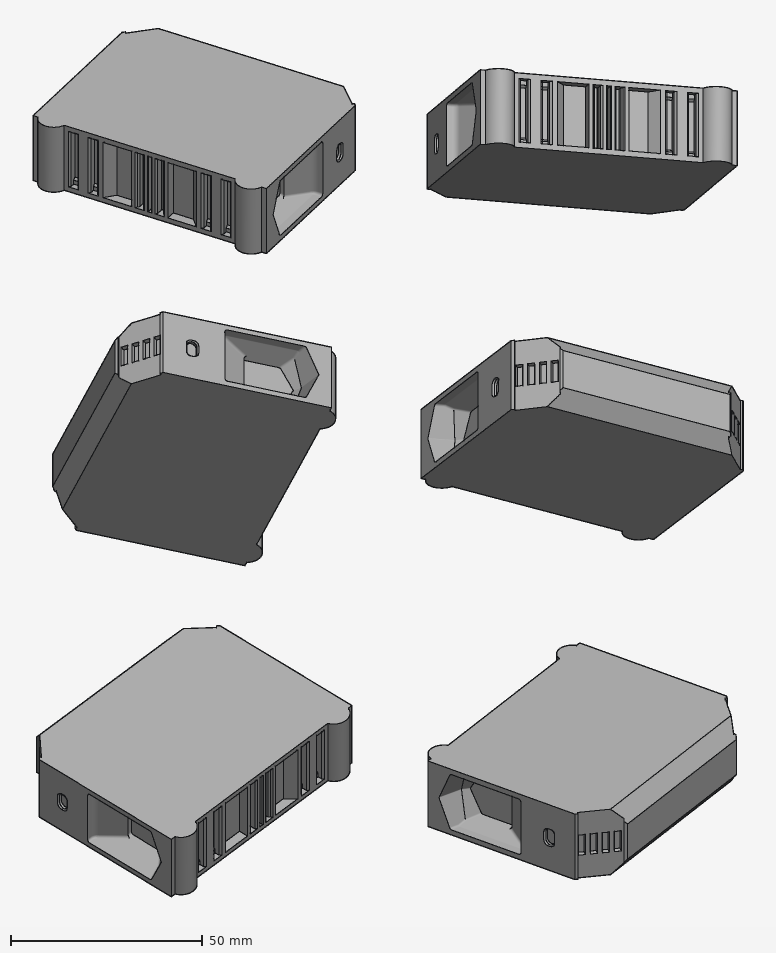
import cadquery as cq
import math

LENGTH = 70.5
THICKNESS = 20.2
BACK_Y = 56.5
HALF_LENGTH = LENGTH / 2
HALF_THICKNESS = THICKNESS / 2
OVERSIZE = 141.0
EDGE_MARGIN = 0.1

CORNER_START_Y = 46.5
LIP_WIDTH = 0.6
LIP_HEIGHT = 0.6
LIP_DIAGONAL = LIP_HEIGHT / math.sqrt(2)

BACK_SLOPE_Y = 52.9
BACK_HALF_HEIGHT = 5.4

FOOT_DIAMETER = 8.5
FOOT_X = 29.8
FOOT_PROTRUSION = 2.75

VENT_COUNT = 4
VENT_FIRST_Y = 54.3
VENT_PITCH_Y = 2.25
VENT_WIDTH = 1.9
VENT_HEIGHT = 6.2
VENT_DEPTH = 1.2
VENT_TAPER = 8.0

OPENING_HEIGHT = 17.2
WINDOW_INNER_X = 5.5
WINDOW_OUTER_X = 14.1
WINDOW_SLOPE_LENGTH = 2.55
WINDOW_DEPTH = 2.8
STEPPED_SLOT_CENTERS = (17.05, 23.05)
STEPPED_SLOT_WIDTH = 3.1
STEPPED_SLOT_CHAMFER = 0.55
STEPPED_SLOT_DEPTH = 1.8
STEP_HEIGHT = 0.6
STEP_LENGTH = 14.8
RELIEF_DEPTH = 2.8
RELIEF_INNER_X = 1.6
RELIEF_OUTER_X = 4.4
RELIEF_CHAMFER = 0.5
RELIEF_LIP_WIDTH = 0.3
RELIEF_LIP_DEPTH = 0.55
RELIEF_FLOOR_BEVEL = 0.25
CENTER_SLOT_WIDTH = 1.4
CENTER_SLOT_CHAMFER = 0.25

GRIP_BACK_Y = 29.5
GRIP_DEPTH = 8.45
GRIP_HALF_HEIGHT = 8.5
GRIP_STRAIGHT_DEPTH = 2.5
GRIP_FLOOR_HALF_HEIGHT = 6.6
GRIP_RAMP_TOP_DEPTH = 2.6
GRIP_RAMP_END_Y = 21.7
GRIP_RAMP_END_DEPTH = 7.2
GRIP_RAMP_RADIUS = 2.1
GRIP_CORNER_RADIUS = 0.8
GRIP_TIP_RADIUS = 0.35
GRIP_MOUTH_TIP_Y = 3.5
GRIP_MOUTH_SWEEP = 0.42
GRIP_MOUTH_DRAFT = 0.38
GRIP_FLOOR_TIP_Y = 7.7
GRIP_FLOOR_SWEEP = 0.55
GRIP_FLOOR_DRAFT = 0.92

RECESS_Y = 38.4
RECESS_MOUTH_WIDTH = 3.45
RECESS_MOUTH_HEIGHT = 5.3
RECESS_MOUTH_CORNER = 1.5
RECESS_WIDTH = 2.75
RECESS_HEIGHT = 4.8
RECESS_FUNNEL_DEPTH = 0.5
RECESS_DEPTH = 1.2


def both_ends(solid):
    return solid.union(solid.mirror("YZ"))


def slab(points):
    """Plan outline extruded over the full thickness."""
    return cq.Workplane("XY").polyline(points).close().extrude(HALF_THICKNESS, both=True)


def body():
    corner_end_x = HALF_LENGTH - (BACK_Y - CORNER_START_Y)
    half_outline = [
        (HALF_LENGTH, 0),
        (HALF_LENGTH, CORNER_START_Y),
        (HALF_LENGTH - LIP_WIDTH, CORNER_START_Y + LIP_WIDTH),
        (HALF_LENGTH - LIP_WIDTH - LIP_DIAGONAL, CORNER_START_Y + LIP_WIDTH - LIP_DIAGONAL),
        (corner_end_x + LIP_WIDTH - LIP_DIAGONAL, BACK_Y - LIP_WIDTH - LIP_DIAGONAL),
        (corner_end_x + LIP_WIDTH, BACK_Y - LIP_WIDTH),
        (corner_end_x, BACK_Y),
    ]
    mirrored = [(-x, y) for x, y in reversed(half_outline)]
    side_outline = [
        (0, -HALF_THICKNESS),
        (BACK_SLOPE_Y, -HALF_THICKNESS),
        (BACK_Y, -BACK_HALF_HEIGHT),
        (BACK_Y, BACK_HALF_HEIGHT),
        (BACK_SLOPE_Y, HALF_THICKNESS),
        (0, HALF_THICKNESS),
    ]
    side = cq.Workplane("YZ").polyline(side_outline).close().extrude(HALF_LENGTH, both=True)
    return slab(half_outline + mirrored).intersect(side)


def feet():
    foot_y = FOOT_DIAMETER / 2 - FOOT_PROTRUSION
    return (
        cq.Workplane("XY")
        .pushPoints([(-FOOT_X, foot_y), (FOOT_X, foot_y)])
        .circle(FOOT_DIAMETER / 2)
        .extrude(HALF_THICKNESS, both=True)
    )


def corner_vents():
    face_offset = CORNER_START_Y + HALF_LENGTH - 2 * LIP_DIAGONAL
    vents = cq.Workplane("XY")
    for index in range(VENT_COUNT):
        y = VENT_FIRST_Y - index * VENT_PITCH_Y
        face = cq.Plane(origin=(y - face_offset, y, 0), xDir=(1, 1, 0), normal=(1, -1, 0))
        vent = cq.Workplane(face).rect(VENT_WIDTH, VENT_HEIGHT).extrude(VENT_DEPTH, taper=VENT_TAPER)
        vents = vents.add(vent)
    return both_ends(vents.combine())


def front_opening(points):
    return cq.Workplane("XY").polyline(points).close().extrude(OPENING_HEIGHT / 2, both=True)


def chamfered_slot(center_x, width, chamfer, depth):
    outer = width / 2
    inner = outer - chamfer
    return front_opening([
        (center_x - outer, 0),
        (center_x + outer, 0),
        (center_x + inner, chamfer),
        (center_x + inner, depth),
        (center_x - inner, depth),
        (center_x - inner, chamfer),
    ])


def window():
    return front_opening([
        (WINDOW_INNER_X, 0),
        (WINDOW_OUTER_X, 0),
        (WINDOW_OUTER_X - WINDOW_SLOPE_LENGTH, WINDOW_DEPTH),
        (WINDOW_INNER_X, WINDOW_DEPTH),
    ])


def relief_slot():
    chamfer_x = RELIEF_OUTER_X - RELIEF_LIP_WIDTH
    outer_wall_x = chamfer_x - RELIEF_CHAMFER
    inner_wall_x = RELIEF_INNER_X + RELIEF_CHAMFER
    return front_opening([
        (RELIEF_INNER_X, 0),
        (RELIEF_OUTER_X, 0),
        (chamfer_x, RELIEF_LIP_DEPTH),
        (outer_wall_x, RELIEF_LIP_DEPTH + RELIEF_CHAMFER),
        (outer_wall_x, RELIEF_DEPTH),
        (inner_wall_x + RELIEF_FLOOR_BEVEL, RELIEF_DEPTH),
        (inner_wall_x, RELIEF_DEPTH - RELIEF_FLOOR_BEVEL),
        (inner_wall_x, RELIEF_CHAMFER),
    ])


def stepped_slot(center_x):
    slot = chamfered_slot(center_x, STEPPED_SLOT_WIDTH, STEPPED_SLOT_CHAMFER, STEPPED_SLOT_DEPTH)
    bottom_y = STEPPED_SLOT_DEPTH + STEP_HEIGHT
    half_top = STEP_LENGTH / 2
    half_bottom = half_top - STEP_HEIGHT
    step = (
        cq.Workplane("YZ", origin=(center_x, 0, 0))
        .polyline([
            (STEPPED_SLOT_DEPTH, -half_top),
            (bottom_y, -half_bottom),
            (bottom_y, half_bottom),
            (STEPPED_SLOT_DEPTH, half_top),
        ])
        .close()
        .extrude(STEPPED_SLOT_WIDTH / 2 - STEPPED_SLOT_CHAMFER, both=True)
    )
    return slot.union(step)


def front_openings():
    openings = window().union(relief_slot())
    for center_x in STEPPED_SLOT_CENTERS:
        openings = openings.union(stepped_slot(center_x))
    center_slot = chamfered_slot(0, CENTER_SLOT_WIDTH, CENTER_SLOT_CHAMFER, RELIEF_DEPTH)
    return both_ends(openings).union(center_slot)


def beyond_tip(tip_y, tip_depth, sweep, draft, side):
    """Block below the plane y = tip_y + sweep * side * z + draft * (depth - tip_depth)."""
    outward = cq.Plane(
        origin=(tip_depth - HALF_LENGTH, tip_y, 0),
        xDir=(0, sweep * side, 1),
        normal=(draft, -1, sweep * side),
    )
    return cq.Workplane(outward).rect(OVERSIZE, OVERSIZE).extrude(OVERSIZE)


def inner_grip_edges(lowest_z, highest_z):
    """Pocket edges centred in a height range, strictly between the mouth and the floor."""
    return cq.selectors.BoxSelector(
        (EDGE_MARGIN - HALF_LENGTH, 0, lowest_z),
        (GRIP_DEPTH - EDGE_MARGIN - HALF_LENGTH, GRIP_BACK_Y + EDGE_MARGIN, highest_z),
    )


def grip_pocket():
    end_x = -HALF_LENGTH
    plan = (
        cq.Workplane("XY")
        .polyline([
            (end_x, 0),
            (end_x, GRIP_BACK_Y),
            (end_x + GRIP_RAMP_TOP_DEPTH, GRIP_BACK_Y),
            (end_x + GRIP_RAMP_END_DEPTH, GRIP_RAMP_END_Y),
            (end_x + GRIP_DEPTH, GRIP_RAMP_END_Y),
            (end_x + GRIP_DEPTH, 0),
        ])
        .close()
        .extrude(GRIP_HALF_HEIGHT, both=True)
        .edges(cq.selectors.NearestToPointSelector((end_x + GRIP_RAMP_TOP_DEPTH, GRIP_BACK_Y, 0)))
        .fillet(GRIP_RAMP_RADIUS)
    )
    section = (
        cq.Workplane("XZ")
        .polyline([
            (end_x, -GRIP_HALF_HEIGHT),
            (end_x + GRIP_STRAIGHT_DEPTH, -GRIP_HALF_HEIGHT),
            (end_x + GRIP_DEPTH, -GRIP_FLOOR_HALF_HEIGHT),
            (end_x + GRIP_DEPTH, GRIP_FLOOR_HALF_HEIGHT),
            (end_x + GRIP_STRAIGHT_DEPTH, GRIP_HALF_HEIGHT),
            (end_x, GRIP_HALF_HEIGHT),
        ])
        .close()
        .extrude(-GRIP_BACK_Y)
    )
    pocket = plan.intersect(section)
    for side in (-1, 1):
        pocket = pocket.cut(beyond_tip(GRIP_MOUTH_TIP_Y, 0, GRIP_MOUTH_SWEEP, GRIP_MOUTH_DRAFT, side))
        pocket = pocket.cut(
            beyond_tip(GRIP_FLOOR_TIP_Y, GRIP_DEPTH, GRIP_FLOOR_SWEEP, GRIP_FLOOR_DRAFT, side)
        )
    lowest_corner_z = GRIP_FLOOR_HALF_HEIGHT - GRIP_CORNER_RADIUS
    highest_corner_z = GRIP_HALF_HEIGHT + GRIP_CORNER_RADIUS
    upper_corners = inner_grip_edges(lowest_corner_z, highest_corner_z)
    lower_corners = inner_grip_edges(-highest_corner_z, -lowest_corner_z)
    tip_edges = inner_grip_edges(-EDGE_MARGIN, EDGE_MARGIN)
    pocket = pocket.edges(upper_corners).fillet(GRIP_CORNER_RADIUS)
    pocket = pocket.edges(lower_corners).fillet(GRIP_CORNER_RADIUS)
    return pocket.edges(tip_edges).edges("not |Z").fillet(GRIP_TIP_RADIUS)


def end_recess():
    funnel_draft = math.degrees(math.atan2(RECESS_MOUTH_WIDTH - RECESS_WIDTH, 2 * RECESS_FUNNEL_DEPTH))
    mouth_plane = cq.Plane(origin=(-HALF_LENGTH, RECESS_Y, 0), xDir=(0, 1, 0), normal=(1, 0, 0))
    funnel = (
        cq.Workplane(mouth_plane)
        .sketch()
        .rect(RECESS_MOUTH_WIDTH, RECESS_MOUTH_HEIGHT)
        .vertices()
        .fillet(RECESS_MOUTH_CORNER)
        .finalize()
        .extrude(RECESS_FUNNEL_DEPTH, taper=funnel_draft)
    )
    well = cq.Workplane(mouth_plane).slot2D(RECESS_HEIGHT, RECESS_WIDTH, 90).extrude(RECESS_DEPTH)
    return funnel.union(well)


result = (
    body()
    .union(feet())
    .cut(corner_vents())
    .cut(front_openings())
    .cut(both_ends(grip_pocket()))
    .cut(both_ends(end_recess()))
)